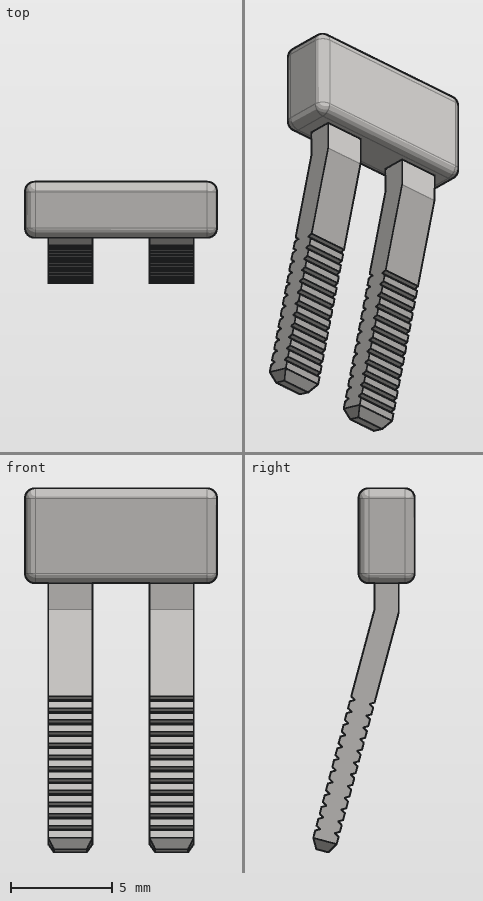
import cadquery as cq
import math

head_width = 9.5
head_depth = 2.79
head_height = 4.7
head_radius = 0.5

overall_depth = 5.02
overall_height = 18.0

leg_width = 2.2
leg_thickness = 1.2
leg_spacing = 5.0
leg_root = 0.9
lean_angle = 15.0

tip_length = 0.5
tip_taper = 30.0
tip_inset = tip_length * math.tan(math.radians(tip_taper))

groove_count = 12
grip_length = 6.6
groove_pitch = grip_length / (groove_count - 1)
groove_depth = 0.22
groove_angle = 60.0
groove_half_width = groove_depth * math.tan(math.radians(groove_angle / 2))
last_groove_to_tip = 0.5

lean = math.radians(lean_angle)
head_bottom = overall_height - head_height
front_y = -leg_thickness / 2
back_y = leg_thickness / 2

shaft_end_y = head_depth / 2 - overall_depth
shaft_length = (front_y - shaft_end_y) / math.sin(lean)
shaft_end_z = tip_length * math.cos(lean) + (leg_thickness - tip_inset) * math.sin(lean)
bend_z = shaft_end_z + shaft_length * math.cos(lean)

back_bend_z = bend_z - leg_thickness * math.tan(lean / 2)


def make_head():
    block = cq.Workplane("XY").box(head_width, head_depth, head_height, centered=(True, True, False))
    return block.edges().fillet(head_radius).translate((0, 0, head_bottom))


def leaning_point(behind, along):
    """YZ point at a distance behind the front face and a distance down the leg from the bend."""
    y = front_y + behind * math.cos(lean) - along * math.sin(lean)
    z = bend_z - behind * math.sin(lean) - along * math.cos(lean)
    return (y, z)


def extrude_profile(points):
    return cq.Workplane("YZ").polyline(points).close().extrude(leg_width / 2, both=True)


def make_shaft():
    root_z = head_bottom + leg_root
    return extrude_profile([
        (front_y, root_z),
        (front_y, bend_z),
        leaning_point(0, shaft_length),
        leaning_point(leg_thickness, shaft_length),
        (back_y, back_bend_z),
        (back_y, root_z),
    ])


def make_tip():
    centre_y, centre_z = leaning_point(leg_thickness / 2, shaft_length)
    base = cq.Plane(
        origin=(0, centre_y, centre_z),
        xDir=(1, 0, 0),
        normal=(0, -math.sin(lean), -math.cos(lean)),
    )
    return cq.Workplane(base).rect(leg_width, leg_thickness).extrude(tip_length, taper=tip_taper)


def make_groove(face, inward, along):
    """V-groove cutter on the given face; inward is +1 from the front face, -1 from the back face."""
    mouth = face - inward * groove_depth
    mouth_half_width = 2 * groove_half_width
    return extrude_profile([
        leaning_point(mouth, along - mouth_half_width),
        leaning_point(face + inward * groove_depth, along),
        leaning_point(mouth, along + mouth_half_width),
    ])


def make_leg():
    leg = make_shaft().union(make_tip())
    for i in range(groove_count):
        along = shaft_length - last_groove_to_tip - i * groove_pitch
        leg = leg.cut(make_groove(0, 1, along))
        leg = leg.cut(make_groove(leg_thickness, -1, along))
    return leg


leg = make_leg()
result = make_head()
for side in (-1, 1):
    result = result.union(leg.translate((side * leg_spacing / 2, 0, 0)))